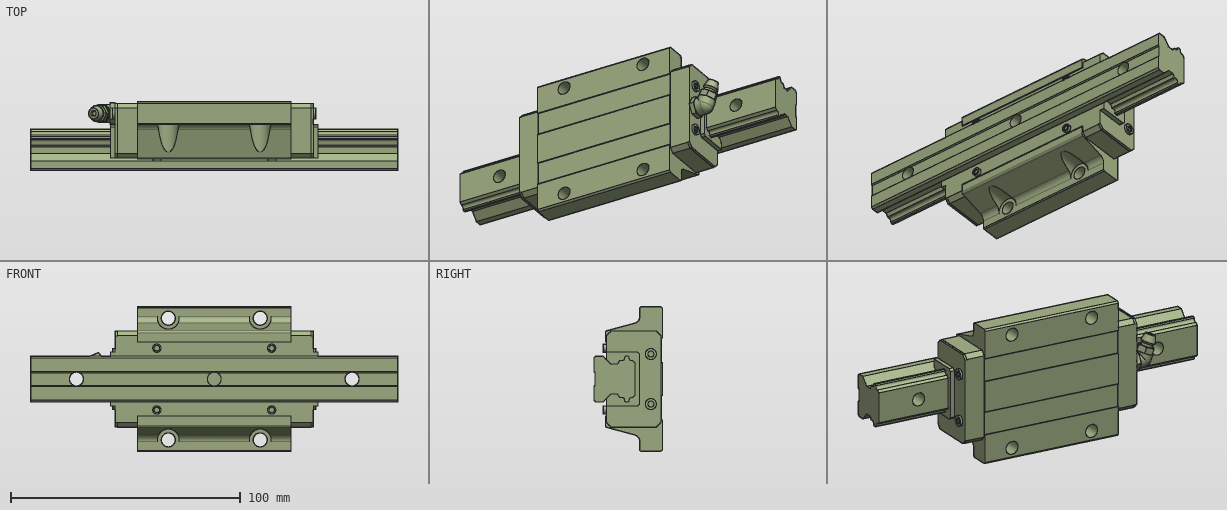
import cadquery as cq
import math


RAIL_LENGTH = 160.0
RAIL_HALF_WIDTH = 10.0
RAIL_HEIGHT = 18.0
RAIL_BASE_CHAMFER = 0.8
RAIL_FOOT_HEIGHT = 4.1
RAIL_WAIST_HALF_WIDTH = 6.5
RAIL_WAIST_BOTTOM = 7.4
RAIL_WAIST_TOP = 10.3
RAIL_HEAD_BOTTOM = 11.2
RAIL_RACE_HALF_WIDTH = 8.0
RAIL_RIB_HALF_WIDTH = 9.5
RAIL_RIB_CENTER = 14.4
RAIL_RIB_HALF_HEIGHT = 1.0
RAIL_RIB_EDGE = 0.5
LOWER_RACE_BOTTOM = 11.9
UPPER_RACE_TOP = 16.9
RACE_SAG = 0.4
RAIL_TOP_HALF_WIDTH = 7.0
BASE_GROOVE_HALF_WIDTH = 3.2
BASE_GROOVE_DEPTH = 0.5
RAIL_HOLE_DIAMETER = 6.0
RAIL_HOLE_PITCH = 60.0

CARRIAGE_TOP = 30.0
BLOCK_LENGTH = 67.0
FLANGE_HALF_WIDTH = 31.5
FLANGE_THICKNESS = 10.0
FLANGE_BOTTOM = CARRIAGE_TOP - FLANGE_THICKNESS
FLANGE_TOP_CHAMFER = 0.8
FLANGE_BOTTOM_CHAMFER = 0.5
BODY_SHOULDER_HALF_WIDTH = 24.95
BODY_SIDE_SLOPE = 15.0
BODY_BOTTOM = 5.0
SHOULDER_FILLET = 3.0
BODY_BOTTOM_FILLET = 1.0
TOP_GROOVE_INNER = 7.2
TOP_GROOVE_OUTER = 17.8
TOP_GROOVE_DEPTH = 0.5
FLANGE_HOLE_DIAMETER = 6.0
FLANGE_HOLE_PITCH_X = 40.0
FLANGE_HOLE_PITCH_Z = 53.0
SPOTFACE_DIAMETER = 9.5

CAP_HALF_LENGTH = 43.2
CAP_HALF_WIDTH = 21.0
CAP_TOP = 29.2
CAP_BOTTOM = 5.5
CAP_CHAMFER = 2.0
CAP_PLATE_THICKNESS = 1.0
CAP_PLATE_INSET = 0.15
RETAINER_HALF_WIDTH = 16.1
SEAL_THICKNESS = 2.0
SEAL_HALF_WIDTH = 11.8
SEAL_TOP = 20.0
SEAL_CHAMFER = 1.0
SCREW_HEIGHT = 24.85
CAP_SCREW_SPACING = 21.8
CAP_SCREW_DIAMETER = 4.8
CAP_SCREW_HEAD = 1.0
CAP_SCREW_SOCKET = 2.6
RETAINER_SCREW_PITCH_X = 50.0
RETAINER_SCREW_PITCH_Z = 26.9
RETAINER_SCREW_DIAMETER = 3.6
RETAINER_SCREW_HEAD = 1.4
RETAINER_SCREW_SOCKET = 2.4
SOCKET_DEPTH = 0.6

NIPPLE_TILT = 22.5
NIPPLE_BASE_FLATS = 8.2
NIPPLE_BASE_THICKNESS = 2.1
ELBOW_RADIUS = 4.0
ELBOW_REACH = 5.0
ARM_HEX_START = 3.2
ARM_HEX_END = 6.1
ARM_HEX_FLATS = 7.0
ARM_HEX_CHAMFER = 0.4
NECK_RADIUS = 2.7
NECK_END = 7.3
HEAD_WIDEST = 8.2
HEAD_RADIUS = 3.35
HEAD_END = 11.5
TIP_RADIUS = 2.35
GREASE_HOLE_RADIUS = 1.2
GREASE_HOLE_DEPTH = 2.0


def hexagon_corners(across_flats):
    """Diameter of the circle through the corners of a hexagon."""
    return across_flats / math.cos(math.radians(30))


def prism_along_x(profile, length):
    """Extrude a closed YZ profile symmetrically along X."""
    return profile.extrude(length / 2, both=True)


def rail_bar(length):
    """Plain rail section, without its screw holes and base groove."""
    rib_bottom = RAIL_RIB_CENTER - RAIL_RIB_HALF_HEIGHT
    rib_top = RAIL_RIB_CENTER + RAIL_RIB_HALF_HEIGHT
    race_middle = (RAIL_RACE_HALF_WIDTH + RAIL_RIB_HALF_WIDTH) / 2
    half = (
        cq.Workplane("YZ")
        .moveTo(0, 0)
        .lineTo(0, RAIL_HALF_WIDTH - RAIL_BASE_CHAMFER)
        .lineTo(RAIL_BASE_CHAMFER, RAIL_HALF_WIDTH)
        .lineTo(RAIL_FOOT_HEIGHT, RAIL_HALF_WIDTH)
        .lineTo(RAIL_WAIST_BOTTOM, RAIL_WAIST_HALF_WIDTH)
        .lineTo(RAIL_WAIST_TOP, RAIL_WAIST_HALF_WIDTH)
        .lineTo(RAIL_HEAD_BOTTOM, RAIL_RACE_HALF_WIDTH)
        .lineTo(LOWER_RACE_BOTTOM, RAIL_RACE_HALF_WIDTH)
        .threePointArc(
            ((LOWER_RACE_BOTTOM + rib_bottom) / 2 + RACE_SAG, race_middle - RACE_SAG),
            (rib_bottom, RAIL_RIB_HALF_WIDTH),
        )
        .lineTo(rib_bottom + RAIL_RIB_EDGE, RAIL_HALF_WIDTH)
        .lineTo(rib_top - RAIL_RIB_EDGE, RAIL_HALF_WIDTH)
        .lineTo(rib_top, RAIL_RIB_HALF_WIDTH)
        .threePointArc(
            ((UPPER_RACE_TOP + rib_top) / 2 - RACE_SAG, race_middle - RACE_SAG),
            (UPPER_RACE_TOP, RAIL_RACE_HALF_WIDTH),
        )
        .lineTo(RAIL_HEIGHT, RAIL_TOP_HALF_WIDTH)
        .lineTo(RAIL_HEIGHT, 0)
        .close()
    )
    half_bar = prism_along_x(half, length)
    return half_bar.union(half_bar.mirror("XY")).clean()


def vertical_cylinders(points, diameter, bottom, top):
    """Cylinders along Y between two heights, at the given (x, z) points."""
    cylinder = cq.Workplane("XY").circle(diameter / 2).extrude(top - bottom).rotate((0, 0, 0), (1, 0, 0), -90)
    cylinders = cq.Workplane("XY")
    for x, z in points:
        cylinders = cylinders.union(cylinder.translate((x, bottom, z)))
    return cylinders


def grid_points(pitch_x, pitch_z):
    """Four (x, z) points of a rectangle centred on the carriage."""
    return [(sx * pitch_x / 2, sz * pitch_z / 2) for sx in (-1, 1) for sz in (-1, 1)]


def make_rail():
    groove_floor = BASE_GROOVE_HALF_WIDTH - BASE_GROOVE_DEPTH
    groove = prism_along_x(
        cq.Workplane("YZ").polyline([
            (0, -BASE_GROOVE_HALF_WIDTH),
            (BASE_GROOVE_DEPTH, -groove_floor),
            (BASE_GROOVE_DEPTH, groove_floor),
            (0, BASE_GROOVE_HALF_WIDTH),
        ]).close(),
        RAIL_LENGTH,
    )
    hole_points = [(i * RAIL_HOLE_PITCH, 0) for i in (-1, 0, 1)]
    holes = vertical_cylinders(hole_points, RAIL_HOLE_DIAMETER, 0, RAIL_HEIGHT)
    return rail_bar(RAIL_LENGTH).cut(groove).cut(holes)


def flanged_block():
    """Flanged steel body with its filleted sides, mounting holes and top grooves."""
    slope_run = (FLANGE_BOTTOM - BODY_BOTTOM) * math.tan(math.radians(BODY_SIDE_SLOPE))
    bottom_half_width = BODY_SHOULDER_HALF_WIDTH - slope_run
    half = cq.Workplane("YZ").polyline([
        (CARRIAGE_TOP, 0),
        (CARRIAGE_TOP, FLANGE_HALF_WIDTH),
        (FLANGE_BOTTOM, FLANGE_HALF_WIDTH),
        (FLANGE_BOTTOM, BODY_SHOULDER_HALF_WIDTH),
        (BODY_BOTTOM, bottom_half_width),
        (BODY_BOTTOM, RETAINER_HALF_WIDTH),
        (CAP_BOTTOM, RETAINER_HALF_WIDTH),
        (CAP_BOTTOM, 0),
    ]).close()

    def edge_at(y, z):
        return cq.selectors.NearestToPointSelector((0, y, z))

    half_block = (
        prism_along_x(half, BLOCK_LENGTH)
        .edges(edge_at(FLANGE_BOTTOM, BODY_SHOULDER_HALF_WIDTH)).fillet(SHOULDER_FILLET)
        .edges(edge_at(BODY_BOTTOM, bottom_half_width)).fillet(BODY_BOTTOM_FILLET)
        .edges(edge_at(CARRIAGE_TOP, FLANGE_HALF_WIDTH)).chamfer(FLANGE_TOP_CHAMFER)
        .edges(edge_at(FLANGE_BOTTOM, FLANGE_HALF_WIDTH)).chamfer(FLANGE_BOTTOM_CHAMFER)
    )
    top_groove = cq.Workplane("XY").box(
        BLOCK_LENGTH, TOP_GROOVE_DEPTH, TOP_GROOVE_OUTER - TOP_GROOVE_INNER
    ).translate((0, CARRIAGE_TOP - TOP_GROOVE_DEPTH / 2, (TOP_GROOVE_OUTER + TOP_GROOVE_INNER) / 2))
    half_block = half_block.cut(top_groove)
    block = half_block.union(half_block.mirror("XY")).clean()

    hole_points = grid_points(FLANGE_HOLE_PITCH_X, FLANGE_HOLE_PITCH_Z)
    holes = vertical_cylinders(hole_points, FLANGE_HOLE_DIAMETER, BODY_BOTTOM, CARRIAGE_TOP)
    spotfaces = vertical_cylinders(hole_points, SPOTFACE_DIAMETER, BODY_BOTTOM, FLANGE_BOTTOM)
    return block.cut(holes).cut(spotfaces)


def cap_prism(length, inset):
    """Chamfered end cap section, narrowed on both sides by the inset."""
    height = CAP_TOP - CAP_BOTTOM
    width = 2 * (CAP_HALF_WIDTH - inset)
    middle = (CAP_TOP + CAP_BOTTOM) / 2
    return (
        cq.Workplane("XY").box(length, height, width)
        .edges("|X").chamfer(CAP_CHAMFER)
        .translate((0, middle, 0))
    )


def end_seals():
    """Seal plates that stand out from both end caps around the rail."""
    height = SEAL_TOP - CAP_BOTTOM
    return (
        cq.Workplane("XY")
        .box(2 * (CAP_HALF_LENGTH + SEAL_THICKNESS), height, 2 * SEAL_HALF_WIDTH)
        .edges("|X and >Y").chamfer(SEAL_CHAMFER)
        .translate((0, CAP_BOTTOM + height / 2, 0))
    )


def cap_screws():
    """Socket screw heads on both end faces."""
    points = [(SCREW_HEIGHT, side * CAP_SCREW_SPACING / 2) for side in (-1, 1)]
    head = (
        cq.Workplane("YZ", origin=(CAP_HALF_LENGTH, 0, 0))
        .pushPoints(points).circle(CAP_SCREW_DIAMETER / 2).extrude(CAP_SCREW_HEAD)
        .faces(">X").workplane(origin=(0, 0, 0))
        .pushPoints(points).circle(CAP_SCREW_SOCKET / 2).cutBlind(-SOCKET_DEPTH)
    )
    return head.union(head.mirror("YZ"))


def retainer_screws():
    """Socket screw heads under the ball retainers."""
    points = grid_points(RETAINER_SCREW_PITCH_X, RETAINER_SCREW_PITCH_Z)
    bottom = CAP_BOTTOM - RETAINER_SCREW_HEAD
    heads = vertical_cylinders(points, RETAINER_SCREW_DIAMETER, bottom, CAP_BOTTOM)
    sockets = vertical_cylinders(points, RETAINER_SCREW_SOCKET, bottom, bottom + SOCKET_DEPTH)
    return heads.cut(sockets)


def make_carriage():
    inner_length = 2 * (CAP_HALF_LENGTH - CAP_PLATE_THICKNESS)
    return (
        flanged_block()
        .union(cap_prism(inner_length, 0))
        .union(cap_prism(2 * CAP_HALF_LENGTH, CAP_PLATE_INSET))
        .union(end_seals())
        .union(cap_screws())
        .union(retainer_screws())
        .cut(rail_bar(RAIL_LENGTH))
    )


def nipple_arm():
    """Straight arm of the nipple, built along +Z from the elbow centre."""
    corner_diameter = hexagon_corners(ARM_HEX_FLATS)
    shank = cq.Workplane("XY").circle(ELBOW_RADIUS).extrude(ARM_HEX_START)
    hexagon = (
        cq.Workplane("XY", origin=(0, 0, ARM_HEX_START))
        .polygon(6, corner_diameter).extrude(ARM_HEX_END - ARM_HEX_START)
    )
    corner_rounding = (
        cq.Workplane("XY").circle(corner_diameter / 2).extrude(ARM_HEX_END)
        .faces(">Z").edges().chamfer(ARM_HEX_CHAMFER)
    )
    head = (
        cq.Workplane("XZ").polyline([
            (0, 0),
            (NECK_RADIUS, 0),
            (NECK_RADIUS, NECK_END),
            (HEAD_RADIUS, HEAD_WIDEST),
            (TIP_RADIUS, HEAD_END),
            (GREASE_HOLE_RADIUS, HEAD_END),
            (GREASE_HOLE_RADIUS, HEAD_END - GREASE_HOLE_DEPTH),
            (0, HEAD_END - GREASE_HOLE_DEPTH),
        ]).close().revolve(360, (0, 0, 0), (0, 1, 0))
    )
    return shank.union(hexagon.intersect(corner_rounding)).union(head)


def make_grease_nipple():
    elbow_center = (-CAP_HALF_LENGTH - ELBOW_REACH, SCREW_HEIGHT, 0)
    base_plane = cq.Workplane("YZ", origin=(-CAP_HALF_LENGTH, SCREW_HEIGHT, 0))
    base = base_plane.polygon(6, hexagon_corners(NIPPLE_BASE_FLATS)).extrude(-NIPPLE_BASE_THICKNESS)
    stem = base_plane.circle(ELBOW_RADIUS).extrude(-ELBOW_REACH)
    elbow = cq.Workplane("XY").sphere(ELBOW_RADIUS).translate(elbow_center)
    arm = nipple_arm().rotate((0, 0, 0), (0, 1, 0), -NIPPLE_TILT).translate(elbow_center)
    return arm.union(elbow).union(stem).union(base)


rail = make_rail()
carriage = make_carriage()
grease_nipple = make_grease_nipple()

result = cq.Compound.makeCompound([
    rail.solids().val(),
    carriage.solids().val(),
    grease_nipple.solids().val(),
])